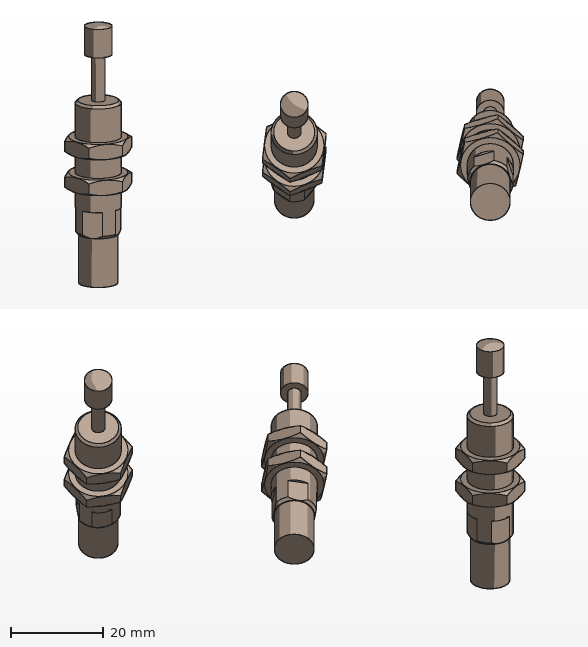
import cadquery as cq
import math

overall_height = 58.3

tail_diameter = 8.6
barrel_diameter = 10.0
collar_bottom = 11.0
collar_end_diameter = 8.9
collar_chamfer_height = 0.7
flats_top = 17.0
across_flats = 9.0
barrel_top = 41.0
barrel_top_chamfer = 0.6
rod_diameter = 3.0
head_diameter = 6.0
head_bottom = 51.3
dome_height = 0.6

nut_across_flats = 13.0
nut_height = 3.5
nut_face_diameter = 12.8
nut_chamfer_angle = math.radians(30)
nut_bottoms = [21.3, 29.3]


def make_turned_blank():
    """Revolved absorber body before its wrench flats are cut."""
    tail_radius = tail_diameter / 2
    barrel_radius = barrel_diameter / 2
    rod_radius = rod_diameter / 2
    head_radius = head_diameter / 2
    dome_base = overall_height - dome_height
    dome_radius = (head_radius**2 + dome_height**2) / (2 * dome_height)
    dome_center = overall_height - dome_radius
    dome_mid_x = head_radius / 2
    dome_mid_z = dome_center + math.sqrt(dome_radius**2 - dome_mid_x**2)
    return (
        cq.Workplane("XZ")
        .moveTo(0, 0)
        .lineTo(tail_radius, 0)
        .lineTo(tail_radius, collar_bottom)
        .lineTo(collar_end_diameter / 2, collar_bottom)
        .lineTo(barrel_radius, collar_bottom + collar_chamfer_height)
        .lineTo(barrel_radius, barrel_top - barrel_top_chamfer)
        .lineTo(barrel_radius - barrel_top_chamfer, barrel_top)
        .lineTo(rod_radius, barrel_top)
        .lineTo(rod_radius, head_bottom)
        .lineTo(head_radius, head_bottom)
        .lineTo(head_radius, dome_base)
        .threePointArc((dome_mid_x, dome_mid_z), (0, overall_height))
        .close()
        .revolve(360, (0, 0, 0), (0, 1, 0))
    )


def make_flats_cutter():
    """Square-holed ring that trims the collar to four wrench flats."""
    return (
        cq.Workplane("XY")
        .workplane(offset=collar_bottom)
        .circle(barrel_diameter)
        .rect(across_flats, across_flats)
        .extrude(flats_top - collar_bottom)
    )


def make_nut(bottom):
    """Hexagon nut with corners along Y, chamfered on both faces and bored to fit the barrel."""
    corner_diameter = nut_across_flats / math.cos(math.pi / 6)
    corner_radius = corner_diameter / 2
    face_radius = nut_face_diameter / 2
    chamfer_height = (corner_radius - face_radius) * math.tan(nut_chamfer_angle)
    top = bottom + nut_height
    hexagon = (
        cq.Workplane("XY")
        .workplane(offset=bottom)
        .transformed(rotate=(0, 0, 90))
        .polygon(6, corner_diameter)
        .extrude(nut_height)
    )
    bore_radius = barrel_diameter / 2
    chamfered_ring = (
        cq.Workplane("XZ")
        .moveTo(bore_radius, bottom)
        .lineTo(face_radius, bottom)
        .lineTo(corner_radius, bottom + chamfer_height)
        .lineTo(corner_radius, top - chamfer_height)
        .lineTo(face_radius, top)
        .lineTo(bore_radius, top)
        .close()
        .revolve(360, (0, 0, 0), (0, 1, 0))
    )
    return hexagon.intersect(chamfered_ring)


absorber_body = make_turned_blank().cut(make_flats_cutter())
lock_nuts = [make_nut(bottom) for bottom in nut_bottoms]

result = cq.Compound.makeCompound([absorber_body.val(), *[nut.val() for nut in lock_nuts]])